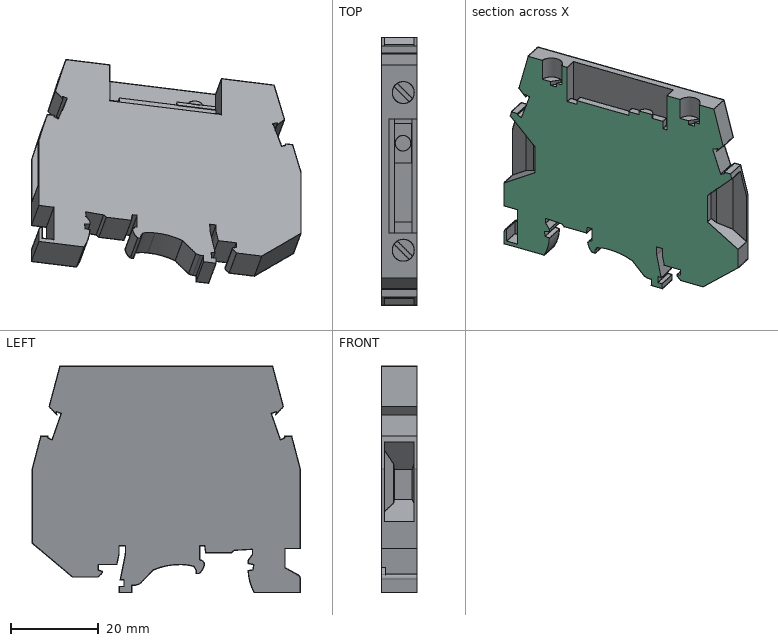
import cadquery as cq


length = 61.0
height = 51.5
thickness = 8.2
half_length = length / 2
half_thickness = thickness / 2

hook_slot_depth = 3.5
hook_wall_y = -half_length + hook_slot_depth
hook_slot_top = 10.0
hook_ramp_top = 5.7
hook_edge_z = 3.1
foot_heel_y = -20.0

slit_top = 10.6
seat_roof = 6.35

groove_wall = 1.0
groove_lip_y = -29.7
groove_floor = 1.05

funnel_half_width = 3.35
funnel_bottom = 16.15
funnel_top = 34.3
funnel_depth = 8.0
funnel_brow_y = -28.85
throat_bottom = 21.15
throat_top = 28.0
throat_left = -1.1
throat_right = 2.9
taper_start_depth = 3.6
taper_end_depth = 6.7
taper_end_left = -1.3

screw_x = 0.9
screw_y = 17.95
screw_diameter = 5.0
screw_head_depth = 5.0
screw_slot_width = 1.05
screw_slot_depth = 1.0
screw_slot_angle = -45

pocket_left = -2.3
pocket_back = 11.95
pocket_front = -13.95
pocket_floor = 41.5

insert_left = -1.05
insert_right = 2.9
step_height = 1.0
bar_front = -11.5
bar_back = 10.9
slider_front = 1.95
slider_right = 2.75
button_y = 6.4
button_diameter = 3.55


def shoulder(side):
    """Points of one end from the vertical side up to the top face; side is +1 for +Y, -1 for -Y."""
    points = [
        (half_length, 28.1),
        (28.55, 35.55),
        (26.9, 35.55),
        (26.9, 35.2),
        (26.0, 34.8),
        (23.9, 40.75),
        (25.0, 41.1),
        (24.9, 40.45),
        (26.65, 42.3),
        (24.2, height),
    ]
    return [(side * y, z) for y, z in points]


def make_body():
    """Side outline in Y and Z, followed along the underside from -Y to +Y and back over the top."""
    outline = (
        cq.Workplane("YZ", origin=(-half_thickness, 0, 0))
        .moveTo(-half_length, hook_slot_top)
        .lineTo(hook_wall_y, hook_slot_top)
        .lineTo(hook_wall_y, hook_ramp_top)
        .lineTo(-29.9, 4.1)
        .threePointArc((-30.3, 3.7), (-half_length, hook_edge_z))
        .lineTo(-half_length, 0)
        .lineTo(foot_heel_y, 0)
        .threePointArc((-19.0, 2.55), (-18.6, 5.0))
        .polyline(
            [
                (-19.7, 5.2),
                (-19.9, 6.35),
                (-18.6, 6.6),
                (-18.6, 7.3),
                (-19.6, 8.65),
                (-19.6, 9.8),
                (-15.45, 9.6),
                (-14.8, 9.0),
                (-8.95, 9.0),
                (-8.7, slit_top),
                (-7.6, slit_top),
                (-7.6, 7.45),
            ],
            includeCurrent=True,
        )
        .lineTo(-8.2, 7.3)
        .lineTo(-8.7, 6.65)
        .threePointArc((-8.35, 5.4), (-7.5, 4.35))
        .lineTo(-6.8, 4.35)
        .lineTo(-6.8, 5.1)
        .lineTo(-6.3, 5.9)
        .threePointArc((-5.0, 6.2), (-3.5, seat_roof))
        .threePointArc((-0.3, 6.1), (2.9, 5.1))
        .lineTo(6.05, 1.95)
        .polyline(
            [
                (7.0, 1.65),
                (7.8, 1.65),
                (7.8, 0),
                (10.75, 0),
                (10.75, 1.4),
                (9.65, 1.4),
                (9.65, 2.85),
                (10.5, 2.85),
                (9.35, 8.65),
                (9.3, slit_top),
                (10.75, slit_top),
                (10.75, 8.65),
                (11.2, seat_roof),
                (15.45, seat_roof),
                (15.45, 5.1),
                (14.5, 4.8),
                (14.5, 4.5),
                (15.5, 3.55),
                (21.35, 3.55),
                (half_length, 11.2),
            ],
            includeCurrent=True,
        )
        .polyline(shoulder(1), includeCurrent=True)
        .polyline(list(reversed(shoulder(-1))), includeCurrent=True)
        .close()
    )
    return outline.extrude(thickness)


def box_between(low, high):
    """Box between two opposite corners."""
    size = [b - a for a, b in zip(low, high)]
    return cq.Workplane("XY", origin=low).box(*size, centered=False)


def make_hook_groove():
    """Groove that leaves the hook ramp standing only along the -X side."""
    return box_between(
        (-half_thickness + groove_wall, groove_lip_y, groove_floor),
        (half_thickness, hook_wall_y, hook_slot_top),
    )


def make_funnel():
    """Tapered wire entry at the -Y end: its side profile intersected with its plan profile."""
    throat_y = -half_length + funnel_depth
    taper_start_y = -half_length + taper_start_depth
    taper_end_y = -half_length + taper_end_depth
    side_profile = (
        cq.Workplane("YZ", origin=(-half_thickness, 0, 0))
        .polyline(
            [
                (-half_length, funnel_bottom),
                (throat_y, throat_bottom),
                (throat_y, throat_top),
                (funnel_brow_y, funnel_top),
                (-half_length, funnel_top),
            ]
        )
        .close()
        .extrude(thickness)
    )
    plan_profile = (
        cq.Workplane("XY")
        .polyline(
            [
                (-funnel_half_width, -half_length),
                (-funnel_half_width, taper_start_y),
                (taper_end_left, taper_end_y),
                (throat_left, throat_y),
                (throat_right, throat_y),
                (funnel_half_width, taper_end_y),
                (funnel_half_width, -half_length),
            ]
        )
        .close()
        .extrude(height)
    )
    return side_profile.intersect(plan_profile)


def make_screw_hole(y):
    """Round shaft down to a screw head, with the slot cut diagonally into the head."""
    head_z = height - screw_head_depth
    slot_floor = head_z - screw_slot_depth
    shaft = (
        cq.Workplane("XY", origin=(screw_x, y, head_z))
        .circle(screw_diameter / 2)
        .extrude(screw_head_depth)
    )
    slot_limit = (
        cq.Workplane("XY", origin=(screw_x, y, slot_floor))
        .circle(screw_diameter / 2)
        .extrude(screw_slot_depth)
    )
    slot = (
        cq.Workplane("XY", origin=(screw_x, y, slot_floor))
        .transformed(rotate=(0, 0, screw_slot_angle))
        .rect(2 * screw_diameter, screw_slot_width)
        .extrude(screw_slot_depth)
        .intersect(slot_limit)
    )
    return shaft.union(slot)


def make_pocket():
    """Open pocket between the two screw blocks."""
    return box_between(
        (pocket_left, pocket_front, pocket_floor),
        (half_thickness, pocket_back, height),
    )


def make_insert():
    """Base strip, bar, slider and round button, each one step higher than the last."""
    bar_z = pocket_floor + step_height
    slider_z = bar_z + step_height
    button_z = slider_z + step_height
    base = box_between((insert_left, pocket_front, pocket_floor), (insert_right, pocket_back, bar_z))
    bar = box_between((insert_left, bar_front, bar_z), (insert_right, bar_back, slider_z))
    slider = box_between((insert_left, slider_front, slider_z), (slider_right, bar_back, button_z))
    button_x = (insert_left + slider_right) / 2
    button = (
        cq.Workplane("XY", origin=(button_x, button_y, button_z))
        .circle(button_diameter / 2)
        .extrude(step_height)
    )
    return base.union(bar).union(slider).union(button)


result = make_body().cut(make_hook_groove())
funnel = make_funnel()
result = result.cut(funnel).cut(funnel.mirror("XZ"))
for side in (-1, 1):
    result = result.cut(make_screw_hole(side * screw_y))
result = result.cut(make_pocket()).union(make_insert())